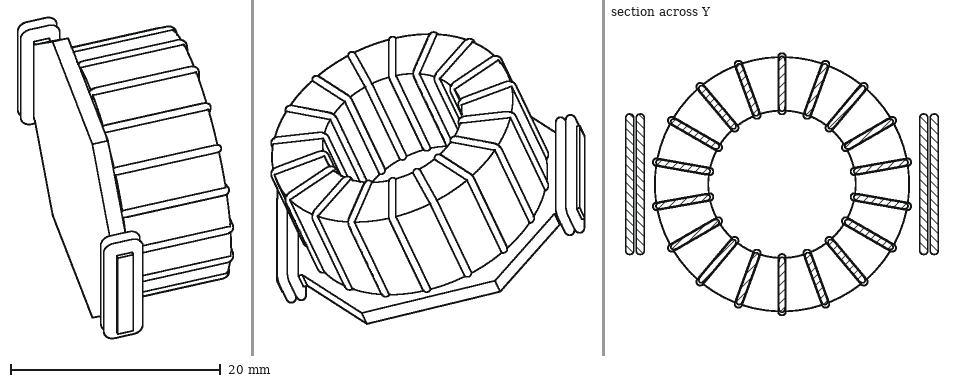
import cadquery as cq
import math


coil_depth = 11.0
core_outer_radius = 12.15
core_inner_radius = 7.0
turn_count = 18
turn_wire_radius = 0.37
turn_bend_radius = 0.43
core_depth = coil_depth - 2 * turn_wire_radius

base_length = 30.5
base_height = 25.4
octagon_width = base_height
plate_thickness = 1.55
top_edge_length = 13.42
tab_height = 11.13

band_margin = 1.15
band_thickness = 0.82
band_corner_radius = 1.0
band_pitch = 1.0
first_band_inset = 0.73
bands_per_tab = 2


def make_core():
    """Ring core, standing off the base by one wire radius."""
    return (
        cq.Workplane("XZ", origin=(0, turn_wire_radius + core_depth, 0))
        .circle(core_outer_radius)
        .circle(core_inner_radius)
        .extrude(core_depth)
    )


def make_turn():
    """One closed turn of wire around the core section, at the +X side of the ring."""
    front = turn_wire_radius
    back = front + core_depth
    inner = core_inner_radius
    outer = core_outer_radius
    bend = turn_bend_radius
    diagonal = bend * (1 - math.sqrt(0.5))
    middle = (front + back) / 2

    path = (
        cq.Workplane("XY")
        .moveTo(outer, middle)
        .lineTo(outer, back - bend)
        .threePointArc((outer - diagonal, back - diagonal), (outer - bend, back))
        .lineTo(inner + bend, back)
        .threePointArc((inner + diagonal, back - diagonal), (inner, back - bend))
        .lineTo(inner, front + bend)
        .threePointArc((inner + diagonal, front + diagonal), (inner + bend, front))
        .lineTo(outer - bend, front)
        .threePointArc((outer - diagonal, front + diagonal), (outer, front + bend))
        .close()
    )
    return (
        cq.Workplane("XZ", origin=(outer, middle, 0))
        .circle(turn_wire_radius)
        .sweep(path)
    )


def make_coil():
    """Core with its evenly spaced turns, one of them straight up along +Z."""
    coil = make_core()
    turn = make_turn()
    for index in range(turn_count):
        angle = 90 + index * 360 / turn_count
        coil = coil.union(turn.rotate((0, 0, 0), (0, 1, 0), angle))
    return coil


def make_plate():
    """Octagonal plate with the two end tabs."""
    octagon = (
        cq.Workplane("XZ")
        .moveTo(top_edge_length / 2, base_height / 2)
        .lineTo(octagon_width / 2, tab_height / 2)
        .lineTo(octagon_width / 2, -tab_height / 2)
        .lineTo(top_edge_length / 2, -base_height / 2)
        .lineTo(-top_edge_length / 2, -base_height / 2)
        .lineTo(-octagon_width / 2, -tab_height / 2)
        .lineTo(-octagon_width / 2, tab_height / 2)
        .lineTo(-top_edge_length / 2, base_height / 2)
        .close()
        .extrude(plate_thickness)
    )
    tabs = cq.Workplane("XZ").rect(base_length, tab_height).extrude(plate_thickness)
    return octagon.union(tabs)


def make_band(x):
    """Band with a full-round rim, centred on the tab at the given X."""
    rim = band_thickness / 2
    flat_depth = plate_thickness + 2 * (band_margin - rim)
    flat_height = tab_height + 2 * (band_margin - rim)
    middle = (
        cq.Workplane("YZ", origin=(x - rim, -plate_thickness / 2, 0))
        .rect(flat_depth, flat_height)
        .extrude(band_thickness)
        .edges("|X")
        .fillet(band_corner_radius - rim)
    )

    path = middle.faces(">X").wires().val().translate(cq.Vector(-rim, 0, 0))
    start = path.startPoint()
    wire = (
        cq.Workplane(cq.Plane(start, normal=path.tangentAt(0)))
        .circle(rim)
        .sweep(cq.Workplane(path))
    )
    return middle.union(wire)


def make_base():
    """Plate with its terminal bands."""
    base = make_plate()
    for side in (-1, 1):
        for index in range(bands_per_tab):
            inset = first_band_inset + index * band_pitch
            base = base.union(make_band(side * (base_length / 2 - inset)))
    return base


coil = make_coil()
base = make_base()

result = cq.Compound.makeCompound([coil.solids().val(), base.solids().val()])